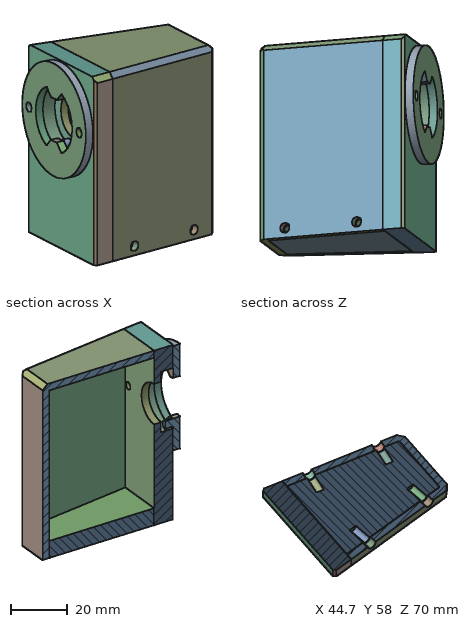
import cadquery as cq
import math

HEIGHT = 70.0
DEPTH = 55.0
FRONT_WIDTH = 45.0
BACK_WIDTH = 30.0
TAPER = (FRONT_WIDTH - BACK_WIDTH) / 2 / DEPTH
TAPER_ANGLE = math.degrees(math.atan(TAPER))
EDGE_CHAMFER = 2.0
FRONT_CHAMFER = 1.0

PLATE_THICKNESS = 8.0
WALL = 3.0

SIDE_HOLE_Z = 3.5
BASE_HEIGHT = 2 * SIDE_HOLE_Z
SIDE_HOLE_SPACING = 27.15
SIDE_HOLE_MID_Y = (PLATE_THICKNESS + DEPTH) / 2
SIDE_HOLE_YS = [SIDE_HOLE_MID_Y + side * SIDE_HOLE_SPACING / 2 for side in (-1, 1)]
SIDE_HOLE_DEPTH = 10.0

CLEARANCE_DIAMETER = 3.5
CORE_DIAMETER = 2.8

AXIS_Z = 48.5
DISC_DIAMETER = 42.0
DISC_THICKNESS = 3.0
DISC_SCREW_X = 16.5
SOCKET_DIAMETER = 24.0
SOCKET_DEPTH = 5.0
BORE_DIAMETER = 16.0
TAB_APEX = 6.0

PIN_DIAMETER = 3.3
PIN_LENGTH = 3.3
PIN_OFFSET = 9.7


def half_width(y):
    """Half width of the tapered block at depth y."""
    return FRONT_WIDTH / 2 - TAPER * y


def prism(y_front, y_back, height, inset=0.0):
    """Tapered prism between two depths, its sides set in from the outer walls."""
    side_inset = inset / math.cos(math.radians(TAPER_ANGLE))
    front = half_width(y_front) - side_inset
    back = half_width(y_back) - side_inset
    outline = [(-front, y_front), (front, y_front), (back, y_back), (-back, y_back)]
    return cq.Workplane("XY").polyline(outline).close().extrude(height)


def axial_cylinder(diameter, y_front, y_back, x=0.0, z=AXIS_Z):
    """Cylinder along Y between two depths."""
    circle = cq.Workplane("XZ", origin=(x, y_front, z)).circle(diameter / 2)
    return circle.extrude(y_front - y_back)


def side_holes(diameter, depth):
    """Holes square to both tapered side walls, starting at the outer faces."""
    holes = cq.Workplane("XY")
    for side in (-1, 1):
        inward = cq.Vector(-side, -TAPER, 0)
        for y in SIDE_HOLE_YS:
            start = cq.Vector(side * half_width(y), y, SIDE_HOLE_Z)
            holes = holes.add(cq.Solid.makeCylinder(diameter / 2, depth, start, inward))
    return holes.combine()


def disc_screw_holes(diameter, y_front, y_back):
    """Pair of screw holes left and right of the bayonet axis."""
    left = axial_cylinder(diameter, y_front, y_back, x=-DISC_SCREW_X)
    return left.union(axial_cylinder(diameter, y_front, y_back, x=DISC_SCREW_X))


def make_outer_block():
    """Solid tapered block with its top and upright edges bevelled."""
    bevelled_top = prism(0, DEPTH, HEIGHT).faces(">Z").edges("not <Y").chamfer(EDGE_CHAMFER)
    bevelled_corners = prism(0, DEPTH, HEIGHT).edges("|Z and >Y").chamfer(EDGE_CHAMFER)
    bevelled_corners = bevelled_corners.edges("|Z and <Y").chamfer(FRONT_CHAMFER)
    return bevelled_top.intersect(bevelled_corners)


def depth_slab(y_front, y_back):
    """Box that spans the whole block between two depths."""
    slab = cq.Workplane("XY").box(FRONT_WIDTH, y_back - y_front, HEIGHT, centered=(True, False, False))
    return slab.translate((0, y_front, 0))


def make_housing():
    """Rear shell, open at the front and at the bottom."""
    shell = make_outer_block().intersect(depth_slab(PLATE_THICKNESS, DEPTH))
    shell = shell.cut(prism(PLATE_THICKNESS, DEPTH - WALL, HEIGHT - WALL, WALL))
    return shell.cut(side_holes(CLEARANCE_DIAMETER, SIDE_HOLE_DEPTH))


def make_base_plate():
    """Plate that fills the bottom of the housing, with blind holes for the side screws."""
    plate = prism(PLATE_THICKNESS, DEPTH - WALL, BASE_HEIGHT, WALL)
    return plate.cut(side_holes(CORE_DIAMETER, SIDE_HOLE_DEPTH))


def make_front_plate():
    """Front part of the block with the bayonet socket, its bore and the screw holes."""
    plate = make_outer_block().intersect(depth_slab(0, PLATE_THICKNESS))
    plate = plate.cut(axial_cylinder(SOCKET_DIAMETER, 0, SOCKET_DEPTH))
    plate = plate.cut(axial_cylinder(BORE_DIAMETER, 0, PLATE_THICKNESS))
    return plate.cut(disc_screw_holes(CORE_DIAMETER, 0, PLATE_THICKNESS))


def bayonet_tab(side):
    """Wedge with 45 degree flanks that leaves a tab above (1) or below (-1) the bore."""
    reach = SOCKET_DIAMETER
    apex_z = AXIS_Z + side * TAB_APEX
    outer_z = apex_z + side * reach
    wedge = cq.Workplane("XZ").polyline([(0, apex_z), (reach, outer_z), (-reach, outer_z)]).close()
    return wedge.extrude(DISC_THICKNESS)


def make_disc():
    """Round disc whose opening keeps two tabs, with a stop pin behind the lower one."""
    disc = axial_cylinder(DISC_DIAMETER, -DISC_THICKNESS, 0)
    opening = axial_cylinder(SOCKET_DIAMETER, -DISC_THICKNESS, 0)
    for side in (-1, 1):
        opening = opening.cut(bayonet_tab(side))
    opening = opening.union(axial_cylinder(BORE_DIAMETER, -DISC_THICKNESS, 0))
    disc = disc.cut(opening)
    disc = disc.cut(disc_screw_holes(CLEARANCE_DIAMETER, -DISC_THICKNESS, 0))
    return disc.union(axial_cylinder(PIN_DIAMETER, 0, PIN_LENGTH, z=AXIS_Z - PIN_OFFSET))


housing = make_housing()
base_plate = make_base_plate()
front_plate = make_front_plate()
disc = make_disc()

result = cq.Compound.makeCompound([housing.val(), base_plate.val(), front_plate.val(), disc.val()])